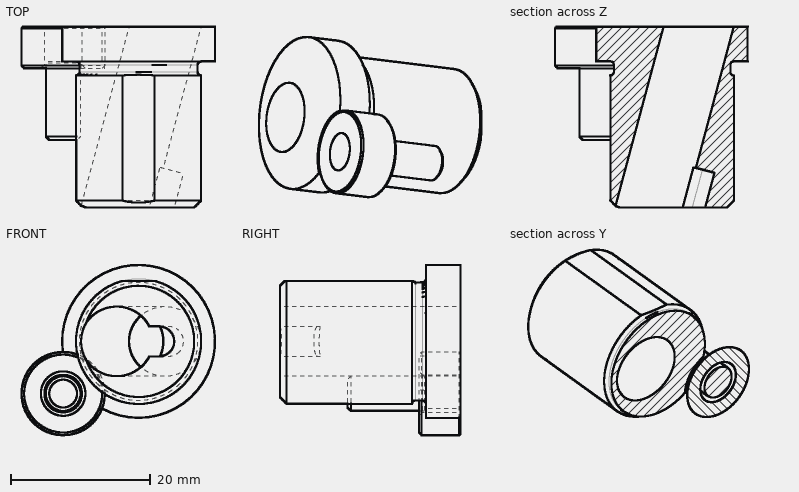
import cadquery as cq
import math

total_length = 26.0
flange_radius = 11.0
flange_thickness = 5.0
sleeve_radius = 9.0
sleeve_chamfer = 1.0
relief_depth = 0.5
relief_width = 2.0
flat_height = 8.7

bore_radius = 5.0
bore_tilt = 15.0
bore_entry_offset = 3.15
keyway_half_width = 2.15
keyway_reach = 8.0
keyway_depth = 7.2

collar_x = -10.84
collar_z = -7.5
collar_radius = 6.0
collar_thickness = 6.0
collar_front_chamfer = 0.4
collar_back_chamfer = 0.25
collar_hole_radius = 2.7
collar_hole_chamfer = 0.5

pin_radius = 2.5
pin_length = 16.3
pin_tip_chamfer = 0.5
pin_foot_length = 5.0


def front_facing_plane(x, y, z):
    """XZ sketch plane whose normal points toward -Y."""
    return cq.Plane(origin=(x, y, z), xDir=(1, 0, 0), normal=(0, -1, 0))


def revolve_about_y(profile):
    """Turn a profile of (radius, distance from the back face) about the Y axis."""
    return profile.close().revolve(360, (0, 0, 0), (0, 1, 0)).val()


def place_on_collar_axis(solid):
    """Mirror the turned body to point toward -Y and move it to the collar axis."""
    return cq.Workplane(solid).mirror("XZ").translate((collar_x, 0, collar_z))


def make_bushing_blank():
    """Flange, relief groove with rounded corners, and chamfered sleeve."""
    neck_radius = sleeve_radius - relief_depth
    relief_end = flange_thickness + relief_width
    profile = (
        cq.Workplane("XY")
        .lineTo(flange_radius, 0)
        .lineTo(flange_radius, flange_thickness)
        .lineTo(sleeve_radius, flange_thickness)
        .radiusArc((neck_radius, flange_thickness + relief_depth), relief_depth)
        .lineTo(neck_radius, relief_end - relief_depth)
        .radiusArc((sleeve_radius, relief_end), relief_depth)
        .lineTo(sleeve_radius, total_length - sleeve_chamfer)
        .lineTo(sleeve_radius - sleeve_chamfer, total_length)
        .lineTo(0, total_length)
    )
    return cq.Workplane(revolve_about_y(profile)).mirror("XZ")


def make_sleeve_flat():
    """Block that planes the top of the sleeve, clear of the rounded flange corner."""
    sleeve_length = total_length - flange_thickness - relief_depth
    return (
        cq.Workplane("XY")
        .box(2 * sleeve_radius, sleeve_length, sleeve_radius, centered=(True, False, False))
        .translate((0, -total_length, flat_height))
    )


def make_bore_cutter():
    """Inclined through bore, joined with the round-ended keyway on its +X side."""
    tilt = math.radians(bore_tilt)
    entry_plane = cq.Plane(
        origin=(-bore_entry_offset, -total_length, 0),
        xDir=(math.cos(tilt), -math.sin(tilt), 0),
        normal=(-math.sin(tilt), -math.cos(tilt), 0),
    )
    overrun = 2 * bore_radius
    bore = (
        cq.Workplane(entry_plane)
        .workplane(offset=overrun)
        .circle(bore_radius)
        .extrude(-(2 * overrun + total_length))
    )
    keyway_centre = keyway_reach - keyway_half_width
    keyway = (
        cq.Workplane(entry_plane)
        .workplane(offset=-keyway_depth)
        .moveTo(0, -keyway_half_width)
        .lineTo(keyway_centre, -keyway_half_width)
        .threePointArc((keyway_reach, 0), (keyway_centre, keyway_half_width))
        .lineTo(0, keyway_half_width)
        .close()
        .extrude(keyway_depth + overrun)
    )
    return bore.union(keyway)


def make_collar_notch():
    """Round recess through the flange and neck that the collar sits in."""
    return (
        cq.Workplane(front_facing_plane(collar_x, 0, collar_z))
        .circle(collar_radius)
        .extrude(collar_thickness)
    )


def make_bushing():
    return (
        make_bushing_blank()
        .cut(make_sleeve_flat())
        .cut(make_bore_cutter())
        .cut(make_collar_notch())
    )


def make_collar():
    """Ring with chamfered rims and a countersunk hole on its front face."""
    countersink_radius = collar_hole_radius + collar_hole_chamfer
    profile = (
        cq.Workplane("XY")
        .moveTo(collar_hole_radius, 0)
        .lineTo(collar_radius - collar_back_chamfer, 0)
        .lineTo(collar_radius, collar_back_chamfer)
        .lineTo(collar_radius, collar_thickness - collar_front_chamfer)
        .lineTo(collar_radius - collar_front_chamfer, collar_thickness)
        .lineTo(countersink_radius, collar_thickness)
        .lineTo(collar_hole_radius, collar_thickness - collar_hole_chamfer)
    )
    return place_on_collar_axis(revolve_about_y(profile))


def make_pin():
    """Pin whose thicker foot fits the collar hole and tapers to the shank."""
    taper = collar_hole_radius - pin_radius
    profile = (
        cq.Workplane("XY")
        .lineTo(collar_hole_radius, 0)
        .lineTo(collar_hole_radius, pin_foot_length)
        .lineTo(pin_radius, pin_foot_length + taper)
        .lineTo(pin_radius, pin_length - pin_tip_chamfer)
        .lineTo(pin_radius - pin_tip_chamfer, pin_length)
        .lineTo(0, pin_length)
    )
    return place_on_collar_axis(revolve_about_y(profile))


bushing = make_bushing()
collar = make_collar()
pin = make_pin()

result = cq.Compound.makeCompound([bushing.val(), collar.val(), pin.val()])